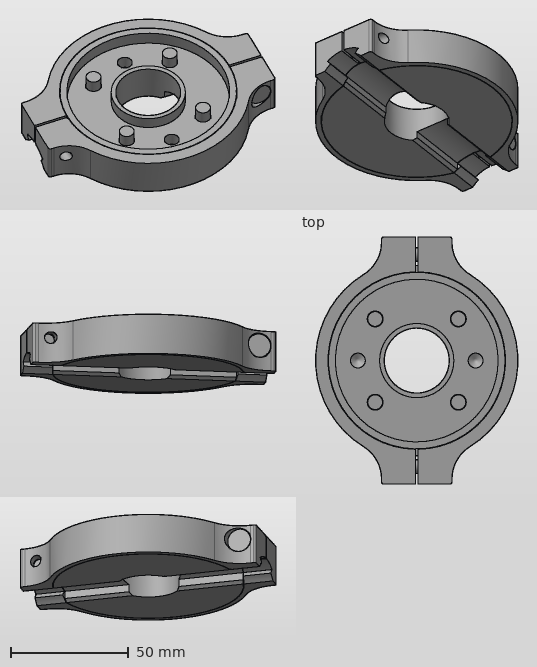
import cadquery as cq
import math

thickness = 17.0
ring_radius = 86.0 / 2
clamp_length = 105.0
lug_width = 30.0
lug_fillet = 16.0
lug_corner_fillet = 1.0
split_gap = 1.0

spigot_radius = 37.5
flange_radius = 40.4
flange_top = 13.6
seat_clearance = 0.2

recess_radius = 34.5
recess_depth = 6.0
floor_z = thickness - recess_depth
tube_radius = 15.8
tube_bore_radius = 13.8
tube_height = 5.4

pitch_radius = 25.0
pin_radius = 3.2
pin_hole_radius = 3.4
pin_hole_depth = 6.0
pin_protrusion = 5.4
pin_count = 4
first_pin_angle = 45.0
blind_hole_radius = 3.2
blind_hole_depth = 6.0
drill_point_angle = 118.0
blind_hole_count = 2

screw_y = 45.0
screw_z = 10.7
shank_radius = 2.9
shank_end_x = 10.5
head_radius = 5.0
head_outer_x = -14.9
head_seat_x = -8.9
counterbore_radius = 5.2
tap_hole_radius = 2.5

channel_axis_z = -8.4
channel_radius = 15.3
channel_half_width = 8.1
lip_radius = 12.7
clamp_lip_half_width = 6.5
disc_lip_half_width = channel_half_width


def cylinder_z(radius, bottom, top):
    return cq.Workplane("XY").workplane(offset=bottom).circle(radius).extrude(top - bottom)


def cylinder_x(radius, start, end):
    """Cylinder on the axis of the -Y screw, between two X positions."""
    plane = cq.Workplane("YZ", origin=(start, -screw_y, screw_z))
    return plane.circle(radius).extrude(end - start)


def both_ends(body):
    """The body at the -Y lug together with its half-turn copy at the +Y lug."""
    return [body, body.rotate((0, 0, 0), (0, 0, 1), 180)]


def channel_cutter(lip_half_width):
    """Channel with an arched roof; a sloping lip on each side starts at the given half width."""

    def arc_z(radius, x):
        return channel_axis_z + math.sqrt(radius**2 - x**2)

    mouth = math.sqrt(lip_radius**2 - channel_axis_z**2)
    lip_mid = (mouth + lip_half_width) / 2
    lip_z = arc_z(lip_radius, lip_half_width)
    roof_z = arc_z(channel_radius, channel_half_width)
    lip_mid_z = arc_z(lip_radius, lip_mid)
    roof_top_z = channel_axis_z + channel_radius
    return (
        cq.Workplane("XZ")
        .moveTo(mouth, 0)
        .threePointArc((lip_mid, lip_mid_z), (lip_half_width, lip_z))
        .lineTo(channel_half_width, roof_z)
        .threePointArc((0, roof_top_z), (-channel_half_width, roof_z))
        .lineTo(-lip_half_width, lip_z)
        .threePointArc((-lip_mid, lip_mid_z), (-mouth, 0))
        .close()
        .extrude(clamp_length, both=True)
    )


def clamp_blank():
    """Ring with a blended lug at each end of Y."""
    half_width = lug_width / 2
    ring = cylinder_z(ring_radius, 0, thickness)
    lugs = (
        cq.Workplane("XY").rect(lug_width, clamp_length).extrude(thickness)
        .edges("|Z").fillet(lug_corner_fillet)
    )

    blend_x = half_width + lug_fillet
    blend_y = math.sqrt((ring_radius + lug_fillet) ** 2 - blend_x**2)
    web = (
        cq.Workplane("XY").polyline([(0, 0), (blend_x, blend_y), (0, blend_y)])
        .close().extrude(thickness)
    )
    web = web.cut(cylinder_z(lug_fillet, 0, thickness).translate((blend_x, blend_y, 0)))
    web_pair = web.union(web.mirror("YZ"))
    return ring.union(lugs).union(web_pair).union(web_pair.mirror("XZ"))


def stepped_seat():
    """Bore that holds the disc under an inward shoulder."""
    seat = cylinder_z(flange_radius + seat_clearance, 0, flange_top)
    return seat.union(cylinder_z(spigot_radius + seat_clearance, 0, thickness))


def screw_holes():
    """Counterbore, shank hole and tapped hole through the -Y lug."""
    hole = cylinder_x(counterbore_radius, -ring_radius, head_seat_x)
    hole = hole.union(cylinder_x(shank_radius, head_seat_x, shank_end_x))
    return hole.union(cylinder_x(tap_hole_radius, shank_end_x, ring_radius))


def make_clamp_half(side):
    """One half of the clamp: side is -1 for -X and +1 for +X."""
    body = clamp_blank().cut(stepped_seat()).cut(channel_cutter(clamp_lip_half_width))
    for hole in both_ends(screw_holes()):
        body = body.cut(hole)
    keep_width = ring_radius
    keep_center = side * (split_gap + keep_width) / 2
    keep = (
        cq.Workplane("XY").center(keep_center, 0)
        .rect(keep_width, clamp_length).extrude(thickness)
    )
    return body.intersect(keep)


def blind_holes():
    """Drilled holes with a conical bottom."""
    point_depth = blind_hole_radius / math.tan(math.radians(drill_point_angle / 2))
    profile = (
        cq.Workplane("XZ")
        .polyline([
            (0, floor_z),
            (blind_hole_radius, floor_z),
            (blind_hole_radius, floor_z - blind_hole_depth),
            (0, floor_z - blind_hole_depth - point_depth),
        ])
        .close()
    )
    drill = profile.revolve(360, (0, 0, 0), (0, 1, 0)).val()
    return (
        cq.Workplane("XY").polarArray(pitch_radius, 0, 360, blind_hole_count)
        .eachpoint(lambda place: drill.moved(place), combine=False)
    )


def make_disc():
    """Stepped disc with a recessed top, a central tube and holes for the pins."""
    body = cylinder_z(flange_radius, 0, flange_top)
    body = body.union(cylinder_z(spigot_radius, 0, thickness))
    body = body.cut(cylinder_z(recess_radius, floor_z, thickness))
    body = body.union(cylinder_z(tube_radius, 0, floor_z + tube_height))
    body = body.cut(cylinder_z(tube_bore_radius, 0, thickness))
    body = body.cut(channel_cutter(disc_lip_half_width))
    pin_holes = (
        cq.Workplane("XY").polarArray(pitch_radius, first_pin_angle, 360, pin_count)
        .circle(pin_hole_radius).extrude(pin_hole_depth)
        .translate((0, 0, floor_z - pin_hole_depth))
    )
    body = body.cut(pin_holes)
    return body.cut(blind_holes())


def make_pin(angle):
    """Plain pin standing on the bottom of its hole at the given angle."""
    x = pitch_radius * math.cos(math.radians(angle))
    y = pitch_radius * math.sin(math.radians(angle))
    pin = cylinder_z(pin_radius, floor_z - pin_hole_depth, floor_z + pin_protrusion)
    return pin.translate((x, y, 0))


def make_screw():
    """Cap screw of the -Y lug, head toward -X."""
    head = cylinder_x(head_radius, head_outer_x, head_seat_x)
    return head.union(cylinder_x(shank_radius, head_seat_x, shank_end_x))


clamp_halves = [make_clamp_half(side) for side in (-1, 1)]
disc = make_disc()
pins = [make_pin(first_pin_angle + i * 360 / pin_count) for i in range(pin_count)]
screws = both_ends(make_screw())

bodies = [*clamp_halves, disc, *pins, *screws]
result = cq.Compound.makeCompound([body.val() for body in bodies])